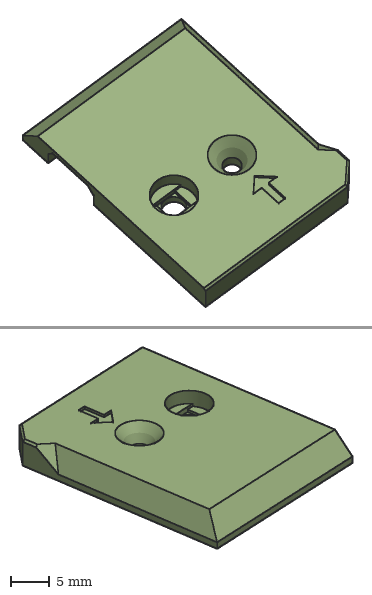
import cadquery as cq

LENGTH = 36
WIDTH = 28.0
THICKNESS = 4.0

LIP_HEIGHT = 1.0
BEVEL_HEIGHT = THICKNESS - LIP_HEIGHT
LEFT_BEVEL_RUN = BEVEL_HEIGHT
REAR_BEVEL_RUN = 2.0
REAR_BEVEL_END = 31.18

CORNER_CUT = 2.95
EDGE_BREAK = 0.32

GROOVE_START = 5.05
GROOVE_WIDTH = 8.93
GROOVE_HEIGHT = 3.15
GROOVE_LENGTH = WIDTH / 2
GROOVE_BEVEL_HEIGHT = 1.1
GROOVE_LEFT_BEVEL_RUN = 0.83
GROOVE_RIGHT_BEVEL_RUN = 1.15

SINK_X = 22.25
SINK_Y = 17.0
HEAD_DIAMETER = 6.4
SINK_MID_DIAMETER = 4.05
SINK_HOLE_DIAMETER = 2.55
SINK_MID_DEPTH = 1.2
SINK_DEPTH = 2.4

BORE_X = 21.95
BORE_Y = 7.02
BORE_HOLE_DIAMETER = 3.4
BORE_DEPTH = 2.0
FLOOR_STEP = 0.4

ARROW_TIP_X = 26.68
ARROW_LENGTH = 5.4
ARROW_HEAD = 2.1
ARROW_STEM_WIDTH = 1.22
ARROW_DEPTH = 0.4


def make_plate():
    """Plate with a bevelled left side, a cut corner and a broken top edge."""
    plate = (
        cq.Workplane("XZ")
        .polyline([
            (0, 0),
            (LENGTH, 0),
            (LENGTH, THICKNESS),
            (LEFT_BEVEL_RUN, THICKNESS),
            (0, LIP_HEIGHT),
        ])
        .close()
        .extrude(-WIDTH)
    )
    plate = plate.edges("|Z and >X and >Y").chamfer(CORNER_CUT)
    broken_edges = plate.faces(">Z").edges(">X or >Y or (not (|X or |Y))")
    return broken_edges.chamfer(EDGE_BREAK)


def make_rear_bevel():
    """Wedge along the rear side, ended by a 45 degree slope across the corner."""
    wedge = (
        cq.Workplane("YZ")
        .polyline([
            (WIDTH - REAR_BEVEL_RUN, THICKNESS),
            (WIDTH, THICKNESS),
            (WIDTH, LIP_HEIGHT),
        ])
        .close()
        .extrude(LENGTH)
    )
    across = cq.Plane(
        origin=(REAR_BEVEL_END, WIDTH, THICKNESS), xDir=(1, -1, 0), normal=(-1, -1, 0)
    )
    end_stop = (
        cq.Workplane(across)
        .polyline([(0, 0), (-BEVEL_HEIGHT, -BEVEL_HEIGHT), (LENGTH, -BEVEL_HEIGHT), (LENGTH, 0)])
        .close()
        .extrude(LENGTH, both=True)
    )
    return wedge.cut(end_stop)


def make_groove():
    groove_end = GROOVE_START + GROOVE_WIDTH
    shoulder = GROOVE_HEIGHT - GROOVE_BEVEL_HEIGHT
    return (
        cq.Workplane("XZ")
        .polyline([
            (GROOVE_START, 0),
            (groove_end, 0),
            (groove_end, shoulder),
            (groove_end - GROOVE_RIGHT_BEVEL_RUN, GROOVE_HEIGHT),
            (GROOVE_START + GROOVE_LEFT_BEVEL_RUN, GROOVE_HEIGHT),
            (GROOVE_START, shoulder),
        ])
        .close()
        .extrude(-GROOVE_LENGTH)
    )


def make_countersunk_hole():
    """Two stacked cones, the lower one steeper, above a plain through hole."""
    hole_radius = SINK_HOLE_DIAMETER / 2
    return (
        cq.Workplane("XZ")
        .polyline([
            (0, 0),
            (hole_radius, 0),
            (hole_radius, THICKNESS - SINK_DEPTH),
            (SINK_MID_DIAMETER / 2, THICKNESS - SINK_MID_DEPTH),
            (HEAD_DIAMETER / 2, THICKNESS),
            (0, THICKNESS),
        ])
        .close()
        .revolve(360, (0, 0), (0, 1))
        .translate((SINK_X, SINK_Y, 0))
    )


def make_counterbored_hole():
    top = cq.Workplane("XY", origin=(BORE_X, BORE_Y, THICKNESS))
    slot_depth = BORE_DEPTH + FLOOR_STEP
    square_depth = slot_depth + FLOOR_STEP
    head = top.circle(HEAD_DIAMETER / 2).extrude(-BORE_DEPTH)
    slot_ends = top.circle(HEAD_DIAMETER / 2).extrude(-slot_depth)
    slot = (
        top.rect(BORE_HOLE_DIAMETER, HEAD_DIAMETER)
        .extrude(-slot_depth)
        .intersect(slot_ends)
    )
    square = top.rect(BORE_HOLE_DIAMETER, BORE_HOLE_DIAMETER).extrude(-square_depth)
    hole = top.circle(BORE_HOLE_DIAMETER / 2).extrude(-THICKNESS)
    return head.union(slot).union(square).union(hole)


def make_arrow():
    half_stem = ARROW_STEM_WIDTH / 2
    return (
        cq.Workplane("XY", origin=(ARROW_TIP_X, SINK_Y, THICKNESS))
        .polyline([
            (0, 0),
            (ARROW_HEAD, ARROW_HEAD),
            (ARROW_HEAD, half_stem),
            (ARROW_LENGTH, half_stem),
            (ARROW_LENGTH, -half_stem),
            (ARROW_HEAD, -half_stem),
            (ARROW_HEAD, -ARROW_HEAD),
        ])
        .close()
        .extrude(-ARROW_DEPTH)
    )


result = (
    make_plate()
    .cut(make_rear_bevel())
    .cut(make_groove())
    .cut(make_countersunk_hole())
    .cut(make_counterbored_hole())
    .cut(make_arrow())
)